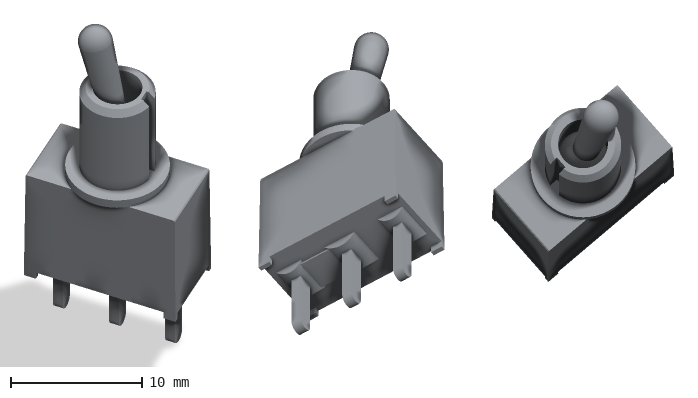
import cadquery as cq
import math

total_height = 29.97
pin_tip_z = -5.3
lever_tip_z = total_height + pin_tip_z

housing_length = 12.7
housing_width = 6.6
housing_height = 10.4
housing_draft = 0.1
end_edge_chamfer = 0.1
floor_z = 0.63
foot_length = 1.0
foot_width = 0.38

flange_diameter = 8.0
flange_thickness = 0.77
bushing_diameter = 5.84
bushing_top_z = 19.24
bushing_chamfer = 0.48
bore_diameter = 3.8
keyway_width = 1.0
keyway_floor_x = 2.2

pivot_z = 15.0
lever_tilt = 12.5
lever_tip_radius = 1.34
lever_base_radius = 0.97

pin_pitch = 4.7
pin_thickness = 0.82
pin_width = 1.3

seal_depth = 0.44
seal_length = 2.3
middle_seal_length = 2.8
seal_width = 3.3
seal_bottom_width = 2.8
seal_strip_depth = 0.17

pin_positions = [-pin_pitch, 0, pin_pitch]
flange_top_z = housing_height + flange_thickness


def make_housing():
    draft_angle = math.degrees(math.atan2(housing_draft, housing_height))
    block = (
        cq.Workplane("XY")
        .rect(housing_length, housing_width)
        .extrude(housing_height, taper=draft_angle)
        .faces(">Z")
        .edges("|Y")
        .chamfer(end_edge_chamfer)
    )
    gap_length = housing_length - 2 * foot_length
    gap_width = housing_width - 2 * foot_width
    channel_along_y = cq.Workplane("XY").rect(gap_length, housing_width).extrude(floor_z)
    channel_along_x = cq.Workplane("XY").rect(housing_length, gap_width).extrude(floor_z)
    return block.cut(channel_along_y).cut(channel_along_x)


def make_bushing():
    flange = (
        cq.Workplane("XY")
        .workplane(offset=housing_height)
        .circle(flange_diameter / 2)
        .extrude(flange_thickness)
    )
    barrel = (
        cq.Workplane("XY")
        .workplane(offset=flange_top_z)
        .circle(bushing_diameter / 2)
        .extrude(bushing_top_z - flange_top_z)
        .faces(">Z")
        .edges()
        .chamfer(bushing_chamfer)
    )
    bore = (
        cq.Workplane("XY")
        .workplane(offset=pivot_z)
        .circle(bore_diameter / 2)
        .extrude(bushing_top_z - pivot_z)
    )
    keyway = (
        cq.Workplane("XY")
        .workplane(offset=flange_top_z)
        .center(keyway_floor_x + bushing_diameter / 2, 0)
        .rect(bushing_diameter, keyway_width)
        .extrude(bushing_top_z - flange_top_z)
    )
    return flange.union(barrel.cut(bore).cut(keyway))


def make_lever():
    ball = cq.Workplane("XY").sphere(bore_diameter / 2)
    tip_centre_height = lever_tip_z - lever_tip_radius - pivot_z
    arm_length = tip_centre_height / math.cos(math.radians(lever_tilt))
    round_point = lever_tip_radius * math.sqrt(0.5)
    arm = (
        cq.Workplane("XZ")
        .lineTo(lever_base_radius, 0)
        .lineTo(lever_tip_radius, arm_length)
        .threePointArc((round_point, arm_length + round_point), (0, arm_length + lever_tip_radius))
        .close()
        .revolve(360, (0, 0, 0), (0, 1, 0))
        .rotate((0, 0, 0), (0, 1, 0), -lever_tilt)
    )
    return ball.union(arm).translate((0, 0, pivot_z))


def make_pin(x):
    tip_radius = pin_width / 2
    shoulder_z = pin_tip_z + tip_radius
    return (
        cq.Workplane("YZ")
        .workplane(offset=x - pin_thickness / 2)
        .moveTo(-tip_radius, floor_z)
        .lineTo(-tip_radius, shoulder_z)
        .threePointArc((0, pin_tip_z), (tip_radius, shoulder_z))
        .lineTo(tip_radius, floor_z)
        .close()
        .extrude(pin_thickness)
    )


def make_seal(x, length):
    bulge = (
        cq.Workplane("XZ")
        .moveTo(x - length / 2, floor_z)
        .threePointArc((x, floor_z - seal_depth), (x + length / 2, floor_z))
        .close()
        .extrude(seal_width / 2, both=True)
    )
    sloped_ends = (
        cq.Workplane("YZ")
        .workplane(offset=x - length / 2)
        .moveTo(-seal_width / 2, floor_z)
        .lineTo(-seal_bottom_width / 2, floor_z - seal_depth)
        .lineTo(seal_bottom_width / 2, floor_z - seal_depth)
        .lineTo(seal_width / 2, floor_z)
        .close()
        .extrude(length)
    )
    return bulge.intersect(sloped_ends)


def make_seal_strip():
    return (
        cq.Workplane("XY")
        .workplane(offset=floor_z - seal_strip_depth)
        .center(pin_pitch / 2, 0)
        .rect(pin_pitch, seal_bottom_width)
        .extrude(seal_strip_depth)
    )


part = make_housing().union(make_bushing()).union(make_lever()).union(make_seal_strip())
for pin_x in pin_positions:
    pin_seal_length = middle_seal_length if pin_x == 0 else seal_length
    part = part.union(make_seal(pin_x, pin_seal_length)).union(make_pin(pin_x))

result = part